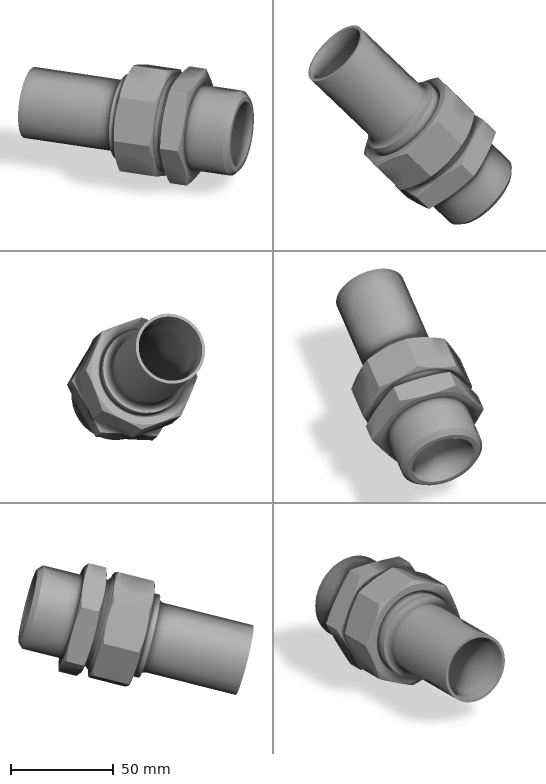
import cadquery as cq
import math

LENGTH = 109.0
BORE_DIAMETER = 32.0

PIPE_DIAMETER = 35.0
SHOULDER_DIAMETER = 41.9
FLANGE_DIAMETER = 43.8
SHOULDER_X = 48.0
SHOULDER_FILLET = 2.8
FLANGE_X = 55.6
SEAT_X = 60.0

NUT_SIDES = 8
NUT_CORNER_DIAMETER = 56.2
NUT_FACE_DIAMETER = 51.7
NUT_START_X = 52.0
NUT_END_X = 72.0
NUT_BEVEL = 1.2
NUT_LIP_DIAMETER = 42.1
NUT_MOUTH_DIAMETER = 44.5
RIM_DIAMETER = 47.9
RIM_TIP_DIAMETER = 44.8
RIM_BAND_LENGTH = 0.27
RIM_END_X = 73.7

HEX_SIDES = 6
HEX_CORNER_DIAMETER = 57.8
HEX_FLAT_DIAMETER = HEX_CORNER_DIAMETER * math.cos(math.pi / HEX_SIDES)
HEX_START_X = 76.0
HEX_END_X = 87.0
HEX_BEVEL = 1.1
THREAD_DIAMETER = 41.9
THREAD_CHAMFER = 2.4


def cylinder(diameter, start_x, end_x):
    """Solid cylinder on the X axis."""
    return cq.Workplane("YZ", origin=(start_x, 0, 0)).circle(diameter / 2).extrude(end_x - start_x)


def revolve_about_x(profile):
    """Revolve a closed XY profile (Y is the radius) about the X axis."""
    return profile.close().revolve(360, (0, 0, 0), (1, 0, 0))


def beveled_prism(sides, corner_diameter, face_diameter, start_x, end_x, bevel):
    """Regular prism with corners on the Y axis and conical bevels on both ends."""
    end_plane = cq.Workplane("YZ", origin=(start_x, 0, 0))
    prism = end_plane.polygon(sides, corner_diameter).extrude(end_x - start_x)
    corner_radius = corner_diameter / 2
    face_radius = face_diameter / 2
    envelope = revolve_about_x(
        cq.Workplane("XY")
        .moveTo(start_x, 0)
        .lineTo(start_x, face_radius)
        .lineTo(start_x + bevel, corner_radius)
        .lineTo(end_x - bevel, corner_radius)
        .lineTo(end_x, face_radius)
        .lineTo(end_x, 0)
    )
    return prism.intersect(envelope)


def make_tail_pipe():
    """Plain pipe flaring into a shoulder and a flange held behind the nut lip."""
    pipe_radius = PIPE_DIAMETER / 2
    fillet_center_radius = pipe_radius + SHOULDER_FILLET
    fillet_start_x = SHOULDER_X - SHOULDER_FILLET
    fillet_offset = SHOULDER_FILLET * math.sqrt(0.5)
    fillet_middle = (fillet_start_x + fillet_offset, fillet_center_radius - fillet_offset)
    return revolve_about_x(
        cq.Workplane("XY")
        .moveTo(0, BORE_DIAMETER / 2)
        .lineTo(0, pipe_radius)
        .lineTo(fillet_start_x, pipe_radius)
        .threePointArc(fillet_middle, (SHOULDER_X, fillet_center_radius))
        .lineTo(SHOULDER_X, SHOULDER_DIAMETER / 2)
        .lineTo(FLANGE_X, SHOULDER_DIAMETER / 2)
        .lineTo(FLANGE_X, FLANGE_DIAMETER / 2)
        .lineTo(SEAT_X, FLANGE_DIAMETER / 2)
        .lineTo(SEAT_X, BORE_DIAMETER / 2)
    )


def make_union_nut():
    """Octagonal nut with a tapered rear rim and a countersunk retaining lip."""
    octagon = beveled_prism(
        NUT_SIDES, NUT_CORNER_DIAMETER, NUT_FACE_DIAMETER, NUT_START_X, NUT_END_X, NUT_BEVEL
    )
    rim = revolve_about_x(
        cq.Workplane("XY")
        .moveTo(NUT_END_X, 0)
        .lineTo(NUT_END_X, RIM_DIAMETER / 2)
        .lineTo(NUT_END_X + RIM_BAND_LENGTH, RIM_DIAMETER / 2)
        .lineTo(RIM_END_X, RIM_TIP_DIAMETER / 2)
        .lineTo(RIM_END_X, 0)
    )
    countersink_depth = (NUT_MOUTH_DIAMETER - NUT_LIP_DIAMETER) / 2
    cavity = revolve_about_x(
        cq.Workplane("XY")
        .moveTo(NUT_START_X, 0)
        .lineTo(NUT_START_X, NUT_MOUTH_DIAMETER / 2)
        .lineTo(NUT_START_X + countersink_depth, NUT_LIP_DIAMETER / 2)
        .lineTo(FLANGE_X, NUT_LIP_DIAMETER / 2)
        .lineTo(FLANGE_X, FLANGE_DIAMETER / 2)
        .lineTo(RIM_END_X, FLANGE_DIAMETER / 2)
        .lineTo(RIM_END_X, 0)
    )
    return octagon.union(rim).cut(cavity)


def make_male_body():
    """Spigot inside the nut, wrench hexagon and chamfered thread cylinder."""
    spigot = cylinder(FLANGE_DIAMETER, SEAT_X, HEX_START_X)
    hexagon = beveled_prism(
        HEX_SIDES, HEX_CORNER_DIAMETER, HEX_FLAT_DIAMETER, HEX_START_X, HEX_END_X, HEX_BEVEL
    )
    thread = cylinder(THREAD_DIAMETER, HEX_END_X, LENGTH).faces(">X").chamfer(THREAD_CHAMFER)
    bore = cylinder(BORE_DIAMETER, SEAT_X, LENGTH)
    return spigot.union(hexagon).union(thread).cut(bore)


tail_pipe = make_tail_pipe()
union_nut = make_union_nut()
male_body = make_male_body()

bodies = [tail_pipe, union_nut, male_body]
result = cq.Compound.makeCompound([body.solids().val() for body in bodies])